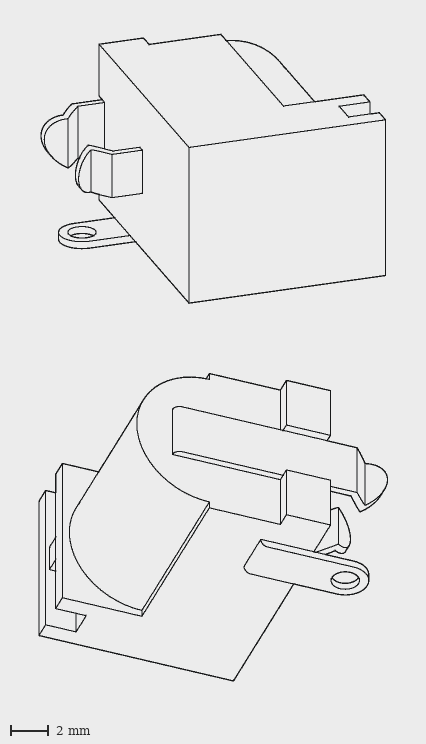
import cadquery as cq

length = 14.4
depth = 11.0
height = 8.99
mid_height = height / 2
lip_length = 0.9
lip_depth = 2.5
barrel_radius = 4.1
barrel_axis_y = 6.51
rear_wall_thickness = 3.5
rear_wall_x = length - rear_wall_thickness

notch_width = 1.5
notch_depth = 1.73
notch_x = rear_wall_x + rear_wall_thickness / 2
stub_setback = 0.22

sheet = 0.4
terminal_reach = 14.5 - depth
terminal_center_x = 3.71
side_leaf_height = 3.0
side_leaf_back_y = 8.6
inner_leaf_height = 2.5
bend_radius = sheet - 0.01

leaf_outer_x = lip_length - sheet
outer_bend_y = -1.7
inner_bend_y = -1.5
hook_tip_offset = 1.61
hook_tip_y = -2.46
hook_inner_offset = 1.0
hook_inner_y = -2.52
hook_end_offset = 0.2
hook_end_width = 0.54

tab_width = 2.5
tab_back_y = 3.0
tab_hole_diameter = 1.5


def box_between(x0, x1, y0, y1, z0, z1):
    return cq.Workplane("XY").box(x1 - x0, y1 - y0, z1 - z0, centered=False).translate((x0, y0, z0))


def rounded_end_strip(plane, width, back_y, thickness):
    """Strip running to the terminal reach, with a semicircular end there."""
    radius = width / 2
    end_y = -terminal_reach
    round_y = end_y + radius
    return (
        cq.Workplane(plane)
        .moveTo(*strip_point(plane, -radius, back_y))
        .lineTo(*strip_point(plane, -radius, round_y))
        .threePointArc(strip_point(plane, 0, end_y), strip_point(plane, radius, round_y))
        .lineTo(*strip_point(plane, radius, back_y))
        .close()
        .extrude(thickness)
    )


def strip_point(plane, across, along_y):
    """Local coordinates of a strip point: Y is the first axis on YZ, the second on XY."""
    return (along_y, across) if plane == "YZ" else (across, along_y)


def make_housing():
    front = box_between(lip_length, length, 0, barrel_axis_y, 0, height)
    lip = box_between(0, lip_length, 0, lip_depth, 0, height)
    rear_wall = box_between(rear_wall_x, length, 0, depth, 0, height)
    barrel = (
        cq.Workplane("YZ", origin=(lip_length, barrel_axis_y, mid_height))
        .circle(barrel_radius)
        .extrude(rear_wall_x - lip_length)
    )
    half_slot = side_leaf_height / 2
    leaf_slot = box_between(0, lip_length, 0, lip_depth, mid_height - half_slot, mid_height + half_slot)
    return front.union(lip).union(rear_wall).union(barrel).cut(leaf_slot)


def cut_rear_notch(housing):
    left = notch_x - notch_width / 2
    right = notch_x + notch_width / 2
    floor_y = depth - notch_depth
    notch = box_between(left, right, floor_y, depth, 0, height)
    stub = box_between(
        left, right, floor_y, depth - stub_setback,
        mid_height - notch_width / 2, mid_height + notch_width / 2,
    )
    return housing.cut(notch).union(stub)


def make_leaf(leaf_height, back_y):
    """Left-hand leaf with its hook bent toward +X and its end rounded."""
    end_y = -terminal_reach
    offsets = [
        (0, back_y),
        (0, outer_bend_y),
        (hook_inner_offset, hook_inner_y),
        (hook_end_offset, end_y),
        (hook_end_offset + hook_end_width, end_y),
        (hook_tip_offset, hook_tip_y),
        (sheet, inner_bend_y),
        (sheet, back_y),
    ]
    profile = [(leaf_outer_x + x, y) for x, y in offsets]
    bent_sheet = (
        cq.Workplane("XY", origin=(0, 0, mid_height))
        .polyline(profile)
        .close()
        .extrude(leaf_height / 2, both=True)
    )
    outline = rounded_end_strip("YZ", leaf_height, back_y, hook_tip_offset)
    return bent_sheet.intersect(outline.translate((leaf_outer_x, 0, mid_height)))


def make_side_leaf():
    leaf = make_leaf(side_leaf_height, side_leaf_back_y)
    outer_back_edge = leaf.faces(">Y").edges("<X")
    return outer_back_edge.fillet(bend_radius)


def make_inner_leaf():
    """Narrower leaf facing the side leaf, with its root buried in the housing."""
    leaf = make_leaf(inner_leaf_height, lip_depth)
    return leaf.mirror("YZ", (terminal_center_x, 0, 0))


def make_ground_tab():
    hole_y = tab_width / 2 - terminal_reach
    tab = rounded_end_strip("XY", tab_width, tab_back_y, sheet).translate((terminal_center_x, 0, -sheet))
    hole = (
        cq.Workplane("XY", origin=(terminal_center_x, hole_y, -sheet))
        .circle(tab_hole_diameter / 2)
        .extrude(sheet)
    )
    return tab.cut(hole).faces(">Y").edges("<Z").fillet(bend_radius)


result = (
    cut_rear_notch(make_housing())
    .union(make_side_leaf())
    .union(make_inner_leaf())
    .union(make_ground_tab())
)